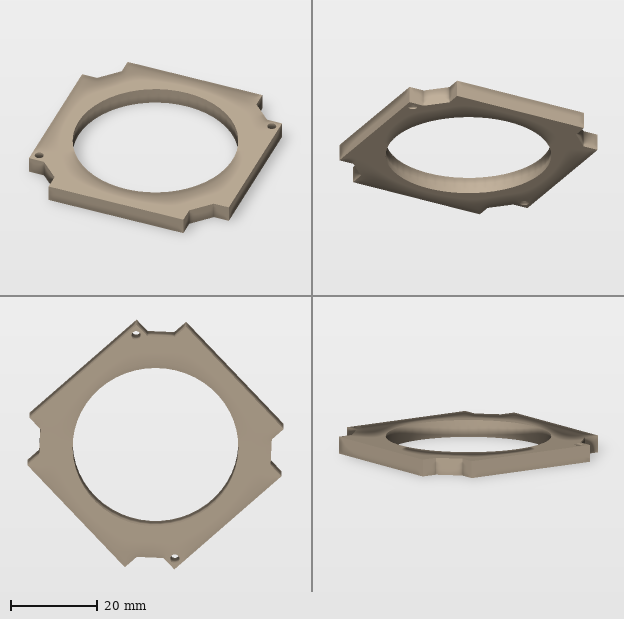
import cadquery as cq

side = 49.8
thickness = 4.0
bore_diameter = 38.4
edge_length = 33.55
notch_depth = 3.75
pin_hole_diameter = 2.1
pin_hole_x = 23.05
pin_hole_y = 14.95

half_side = side / 2
half_edge = edge_length / 2
notch_inner = half_side - notch_depth


def corner_notch(sign_x, sign_y):
    """Corner cutter: a square with its innermost corner cut off at 45 degrees."""
    corner_points = [
        (half_side, half_side),
        (half_side, half_edge),
        (notch_inner, half_edge),
        (half_edge, notch_inner),
        (half_edge, half_side),
    ]
    points = [(sign_x * x, sign_y * y) for x, y in corner_points]
    return cq.Workplane("XY").polyline(points).close().extrude(thickness)


plate = cq.Workplane("XY").box(side, side, thickness, centered=(True, True, False))

for sign_x in (-1, 1):
    for sign_y in (-1, 1):
        plate = plate.cut(corner_notch(sign_x, sign_y))

plate = plate.faces(">Z").workplane(origin=(0, 0, thickness)).hole(bore_diameter)

pin_hole_centres = [(pin_hole_x, pin_hole_y), (-pin_hole_x, -pin_hole_y)]
result = (
    plate.faces(">Z")
    .workplane(origin=(0, 0, thickness))
    .pushPoints(pin_hole_centres)
    .hole(pin_hole_diameter)
)